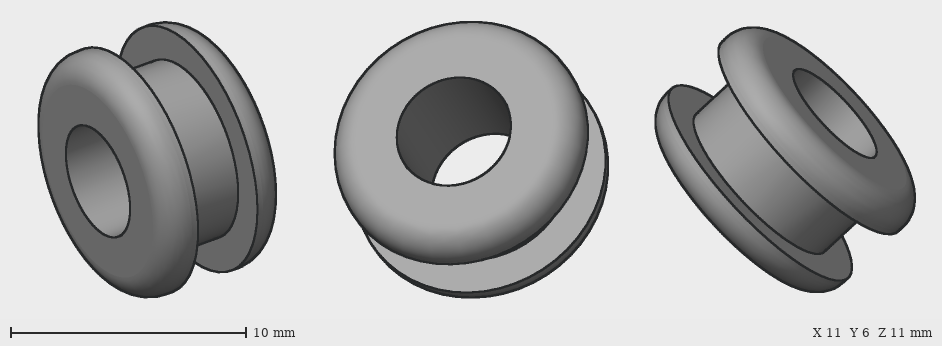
import cadquery as cq

flange_diameter = 11.0
neck_diameter = 8.0
bore_diameter = 5.0
overall_width = 6.0
flange_thickness = 1.5
rim_radius = 1.2

half_width = overall_width / 2


def cylinder_along_y(diameter, length, start_y):
    """Cylinder on the Y axis running from start_y toward +Y."""
    plane = cq.Workplane("XZ", origin=(0, start_y, 0))
    return plane.circle(diameter / 2).extrude(-length)


def flange(start_y, outer_face):
    """Disc whose outward-facing rim is rounded."""
    disc = cylinder_along_y(flange_diameter, flange_thickness, start_y)
    return disc.faces(outer_face).edges().fillet(rim_radius)


front_flange = flange(-half_width, "<Y")
rear_flange = flange(half_width - flange_thickness, ">Y")
neck = cylinder_along_y(neck_diameter, overall_width, -half_width)
bore = cylinder_along_y(bore_diameter, overall_width, -half_width)

result = neck.union(front_flange).union(rear_flange).cut(bore)